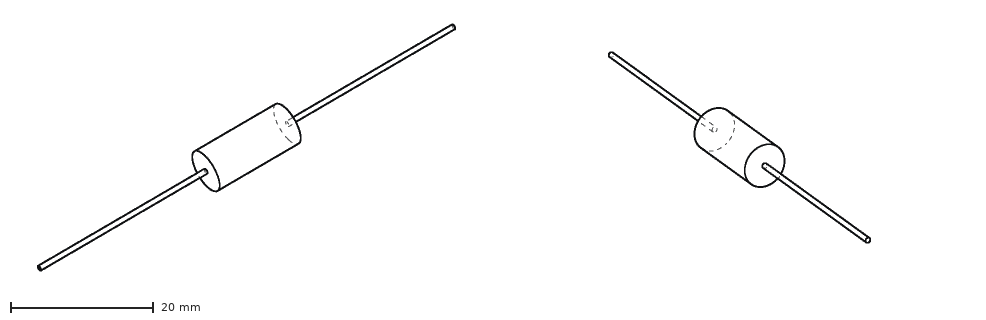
import cadquery as cq

overall_length = 72.4
body_length = 14.2
body_diameter = 6.45
lead_diameter = 0.8


def centered_rod(diameter, length):
    """Cylinder along Y, centered on the origin."""
    end_plane = cq.Workplane("XZ", origin=(0, length / 2, 0))
    return end_plane.circle(diameter / 2).extrude(length)


body = centered_rod(body_diameter, body_length)
leads = centered_rod(lead_diameter, overall_length)

result = body.union(leads)